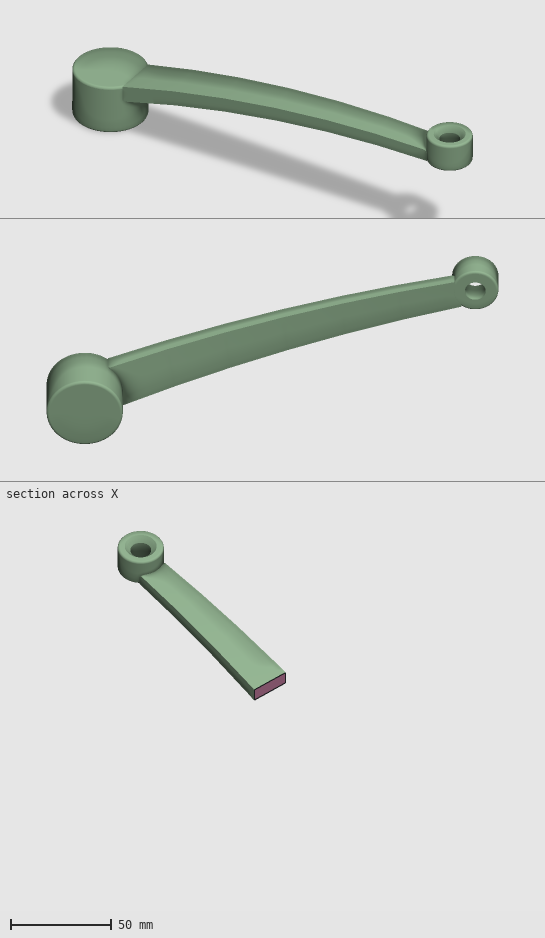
import cadquery as cq

length = 230.5
height = 57.0

hub_diameter = 38.0
hub_height = 27.0
hub_edge = 1.4
hub_x = hub_diameter / 2

boss_diameter = 23.0
boss_height = 15.0
boss_edge = 1.2
hole_diameter = 10.4
countersink_diameter = 16.0
countersink_angle = 90.0
boss_x = length - boss_diameter / 2
boss_bottom = height - boss_height

arm_start = 33.7
arm_end = 210.3
arm_middle = 122.2
top_heights = (hub_height, 44.0, 48.2)
bottom_heights = (18.2, 36.7, boss_bottom)
start_half_width = 12.0
end_half_width = 7.5
end_round = 1.8
start_round = 1.0


def make_cylinder(x, bottom, diameter, cylinder_height, edge):
    """Upright cylinder with rounded rims."""
    body = cq.Workplane("XY", origin=(x, 0, bottom)).circle(diameter / 2).extrude(cylinder_height)
    return body.edges("%CIRCLE").fillet(edge)


def make_arm():
    """Arched side profile cut to a straight taper in plan, reaching into both round ends."""
    top_start, top_middle, top_end = top_heights
    bottom_start, bottom_middle, bottom_end = bottom_heights
    profile = (
        cq.Workplane("XZ")
        .moveTo(arm_start, bottom_start)
        .lineTo(arm_start, top_start)
        .threePointArc((arm_middle, top_middle), (arm_end, top_end))
        .lineTo(arm_end, bottom_end)
        .threePointArc((arm_middle, bottom_middle), (arm_start, bottom_start))
        .close()
        .extrude(start_half_width, both=True)
    )
    profile = profile.edges("|Y").edges(">X").edges(">Z").fillet(end_round)
    profile = profile.edges("|Y").edges("<X").edges("<Z").fillet(start_round)
    plan = (
        cq.Workplane("XY")
        .moveTo(arm_start, -start_half_width)
        .lineTo(arm_end, -end_half_width)
        .lineTo(arm_end, end_half_width)
        .lineTo(arm_start, start_half_width)
        .close()
        .extrude(height)
    )
    return profile.intersect(plan)


hub = make_cylinder(hub_x, 0, hub_diameter, hub_height, hub_edge)
boss = make_cylinder(boss_x, boss_bottom, boss_diameter, boss_height, boss_edge)

result = (
    hub.union(make_arm())
    .union(boss)
    .copyWorkplane(cq.Workplane("XY", origin=(boss_x, 0, height)))
    .cskHole(hole_diameter, countersink_diameter, countersink_angle, depth=boss_height)
)